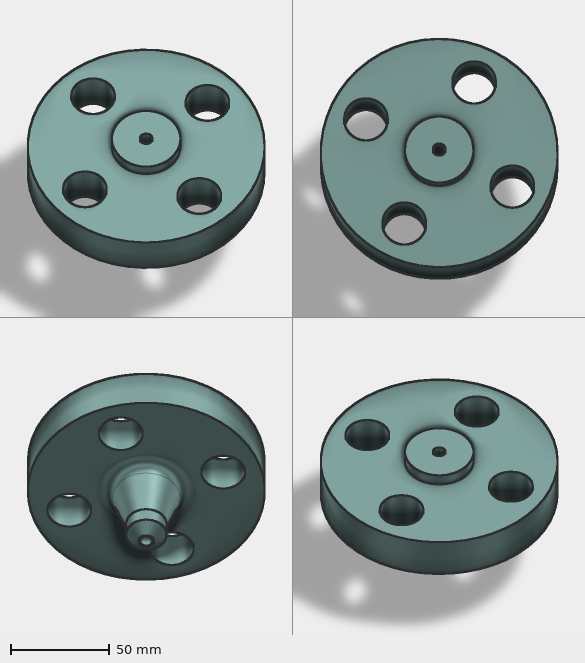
import cadquery as cq
import math

flange_diameter = 120.65
flange_thickness = 22.22
overall_height = 66.67

face_diameter = 34.92
face_height = 6.35

bolt_hole_diameter = 22.22
bolt_circle_diameter = 82.55
bolt_count = 4
bore_diameter = 6.4

hub_diameter = 38.1
hub_fillet_radius = 8.0
stub_diameter = 20.6
stub_length = 8.0
bevel_height = 4.8
tip_diameter = 7.8

flange_top = overall_height - face_height
flange_bottom = flange_top - flange_thickness
stub_top = bevel_height + stub_length


def make_body():
    """Revolve the half section about the Z axis, with a fillet where hub and flange meet."""
    face_radius = face_diameter / 2
    flange_radius = flange_diameter / 2
    hub_radius = hub_diameter / 2
    stub_radius = stub_diameter / 2

    taper = math.atan2(hub_radius - stub_radius, flange_bottom - stub_top)

    sweep = math.pi / 2 - taper
    tangent_length = hub_fillet_radius * math.tan(sweep / 2)
    centre_r = hub_radius + tangent_length
    centre_z = flange_bottom - hub_fillet_radius

    def fillet_point(angle_from_top):
        return (
            centre_r - hub_fillet_radius * math.sin(angle_from_top),
            centre_z + hub_fillet_radius * math.cos(angle_from_top),
        )

    return (
        cq.Workplane("XZ")
        .moveTo(0, 0)
        .lineTo(tip_diameter / 2, 0)
        .lineTo(stub_radius, bevel_height)
        .lineTo(stub_radius, stub_top)
        .lineTo(*fillet_point(sweep))
        .threePointArc(fillet_point(sweep / 2), fillet_point(0))
        .lineTo(flange_radius, flange_bottom)
        .lineTo(flange_radius, flange_top)
        .lineTo(face_radius, flange_top)
        .lineTo(face_radius, overall_height)
        .lineTo(0, overall_height)
        .close()
        .revolve(360, (0, 0, 0), (0, 1, 0))
    )


def make_bore():
    """Centre bore through the full height."""
    return cq.Workplane("XY").circle(bore_diameter / 2).extrude(overall_height)


def make_bolt_holes():
    """Through holes evenly spaced on the bolt circle, starting on the X axis."""
    return (
        cq.Workplane("XY")
        .workplane(offset=flange_bottom)
        .polarArray(bolt_circle_diameter / 2, 0, 360, bolt_count)
        .circle(bolt_hole_diameter / 2)
        .extrude(flange_thickness)
    )


result = make_body().cut(make_bore()).cut(make_bolt_holes())